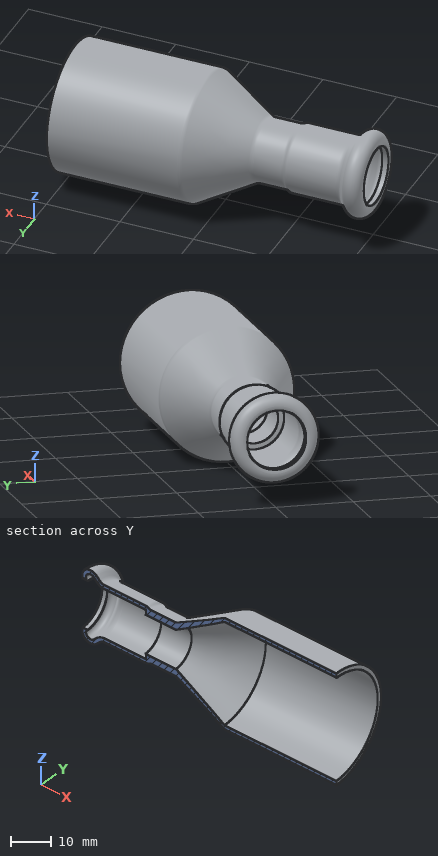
import cadquery as cq
import math

total_length = 82.0
socket_end = 20.5
neck_end = 30.3

spigot_radius = 35.0 / 2
socket_radius = 18.0 / 2
neck_radius = 17.0 / 2

bead_radius = 11.5
bead_tube_radius = 2.8
bead_slope = math.radians(45)
bead_root_fillet = 2.05

slope = math.radians(30)
step_fillet = 1.6
cone_start_fillet = 2.5
cone_end_fillet = 2.05

wall = 1.4
mouth_radius = socket_radius - wall
neck_bore_radius = 6.1
spigot_bore_radius = spigot_radius - wall

bead_center_x = bead_tube_radius
bead_center_r = bead_radius - bead_tube_radius
bead_end_x = bead_center_x + bead_tube_radius * math.sin(bead_slope)
bead_end_r = bead_center_r + bead_tube_radius * math.cos(bead_slope)
bead_root_x = bead_end_x + (bead_end_r - socket_radius) / math.tan(bead_slope)

groove_tube_radius = bead_tube_radius - wall
groove_end_x = bead_center_x + groove_tube_radius * math.sin(bead_slope)
groove_end_r = bead_center_r + groove_tube_radius * math.cos(bead_slope)
groove_root_x = groove_end_x + (groove_end_r - mouth_radius) / math.tan(bead_slope)
groove_root_fillet = bead_root_fillet + wall

lip_depth = bead_center_r - mouth_radius
lip_start_x = bead_center_x - math.sqrt(bead_tube_radius**2 - lip_depth**2)
lip_end_x = bead_center_x - math.sqrt(groove_tube_radius**2 - lip_depth**2)

step_corner_x = socket_end + step_fillet * math.tan(slope / 2)
neck_start = step_corner_x + (socket_radius - neck_radius) / math.tan(slope)
cone_end = neck_end + (spigot_radius - neck_radius) / math.tan(slope)


def rounded_corner(profile, x, r, turn_in, turn_out, radius):
    """Draw up to a corner and round it; the angles are the headings before and after it."""
    reach = radius * math.tan(abs(turn_out - turn_in) / 2)
    start = (x - reach * math.cos(turn_in), r - reach * math.sin(turn_in))
    end = (x + reach * math.cos(turn_out), r + reach * math.sin(turn_out))
    return profile.lineTo(*start).tangentArcPoint(end, relative=False)


def bead_point(tube_radius, angle):
    """Point on a bead circle, with the angle measured from the axis direction."""
    return (
        bead_center_x + tube_radius * math.cos(angle),
        bead_center_r + tube_radius * math.sin(angle),
    )


def make_body():
    """Revolve the solid outside shape."""
    lip_angle = math.pi + math.asin(lip_depth / bead_tube_radius)
    profile = (
        cq.Workplane("XY")
        .moveTo(lip_start_x, 0)
        .lineTo(lip_start_x, mouth_radius)
        .threePointArc(
            bead_point(bead_tube_radius, (lip_angle + math.pi) / 2),
            (0, bead_center_r),
        )
        .threePointArc(
            bead_point(bead_tube_radius, math.pi / 2),
            (bead_end_x, bead_end_r),
        )
    )
    profile = rounded_corner(profile, bead_root_x, socket_radius, -bead_slope, 0, bead_root_fillet)
    profile = rounded_corner(profile, step_corner_x, socket_radius, 0, -slope, step_fillet)
    profile = rounded_corner(profile, neck_start, neck_radius, -slope, 0, step_fillet)
    profile = rounded_corner(profile, neck_end, neck_radius, 0, slope, cone_start_fillet)
    profile = rounded_corner(profile, cone_end, spigot_radius, slope, 0, cone_end_fillet)
    profile = profile.lineTo(total_length, spigot_radius).lineTo(total_length, 0).close()
    return profile.revolve(360, (0, 0, 0), (1, 0, 0))


def make_bore():
    """Revolve the stepped passage, with the seal groove behind the lip."""
    profile = (
        cq.Workplane("XY")
        .moveTo(0, 0)
        .lineTo(0, mouth_radius)
        .lineTo(lip_end_x, mouth_radius)
        .threePointArc(
            bead_point(groove_tube_radius, math.pi / 2),
            (groove_end_x, groove_end_r),
        )
    )
    profile = rounded_corner(profile, groove_root_x, mouth_radius, -bead_slope, 0, groove_root_fillet)
    profile = (
        profile.lineTo(socket_end, mouth_radius)
        .lineTo(socket_end, neck_bore_radius)
        .lineTo(neck_end, neck_bore_radius)
        .lineTo(cone_end, spigot_bore_radius)
        .lineTo(total_length, spigot_bore_radius)
        .lineTo(total_length, 0)
        .close()
    )
    return profile.revolve(360, (0, 0, 0), (1, 0, 0))


result = make_body().cut(make_bore())